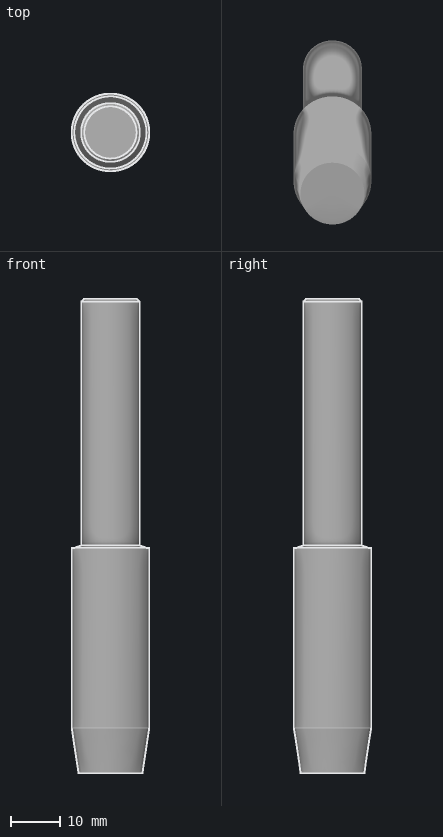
import cadquery as cq

total_height = 96.8
plug_diameter = 15.9
shank_diameter = 12.0

nose_diameter = 13.1
nose_height = 9.3
plug_height = 46.0

foot_diameter = 14.7
foot_height = 0.5
shank_chamfer = 0.7


def revolve_profile(points):
    """Revolve a closed outline of (radius, height) points about Z."""
    return cq.Workplane("XZ").polyline(points).close().revolve(360, (0, 0, 0), (0, 1, 0))


def make_plug():
    """Round plug with a tapered nose at its lower end."""
    return revolve_profile([
        (0, 0),
        (nose_diameter / 2, 0),
        (plug_diameter / 2, nose_height),
        (plug_diameter / 2, plug_height),
        (0, plug_height),
    ])


def make_shank():
    """Round shank that flares into a conical foot on top of the plug."""
    shank_radius = shank_diameter / 2
    return revolve_profile([
        (0, plug_height),
        (foot_diameter / 2, plug_height),
        (shank_radius, plug_height + foot_height),
        (shank_radius, total_height - shank_chamfer),
        (shank_radius - shank_chamfer, total_height),
        (0, total_height),
    ])


plug = make_plug()
shank = make_shank()

result = cq.Compound.makeCompound([plug.val(), shank.val()])